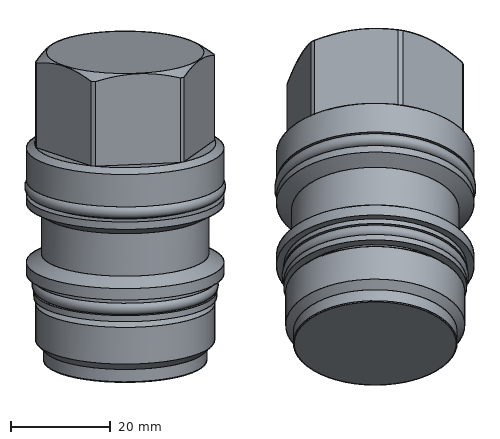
import cadquery as cq
import math


TOTAL_HEIGHT = 64.3
BOTTOM_CHAMFER = 0.2
TIP_TOP = 2.75
LOWER_BAND_BOTTOM = 4.3
LOWER_BAND_TOP = 11.95
LOWER_RING_HEIGHT = 15.8
LOWER_FLANGE_BOTTOM = 18.2
LOWER_FLANGE_EDGE_TOP = 20.6
UPPER_FLANGE_EDGE_BOTTOM = 32.9
UPPER_FLANGE_TOP = 34.45
UPPER_RING_HEIGHT = 36.3
COLLAR_TOP = 45.3

TIP_RADIUS = 16.45
LOWER_BAND_RADIUS = 18.0
NECK_RADIUS = 16.5
NECK_FILLET = 0.8
GROOVE_FLANGE_RADIUS = 18.4
FLANGE_RADIUS = 19.85
WAIST_RADIUS = 16.85
COLLAR_TOP_RADIUS = 18.2

RING_SECTION_RADIUS = 1.3
UPPER_RING_RADIUS = 18.9
LOWER_RING_RADIUS = 17.4
UPPER_GROOVE_FLOOR = UPPER_RING_RADIUS - RING_SECTION_RADIUS
LOWER_GROOVE_FLOOR = LOWER_RING_RADIUS - RING_SECTION_RADIUS

HEX_ACROSS_FLATS = 31.9
HEX_SIDES = 6
HEX_CORNER_RADIUS = 18.1
HEX_TOP_RADIUS = 15.8

CONE_ANGLE = math.radians(30.0)


def cone_height(outer_radius, inner_radius):
    """Height of a 30 degree cone between two radii."""
    return (outer_radius - inner_radius) * math.tan(CONE_ANGLE)


def make_turned_body():
    """Everything below the head, turned from a half profile of (radius, height) points."""
    fillet_start_radius = NECK_RADIUS + NECK_FILLET * (1 - math.sin(CONE_ANGLE))
    fillet_start_height = LOWER_BAND_TOP + cone_height(LOWER_BAND_RADIUS, fillet_start_radius)
    ring_flange_bottom = fillet_start_height + NECK_FILLET * math.cos(CONE_ANGLE)
    fillet_mid_angle = (math.pi / 2 - CONE_ANGLE) / 2
    fillet_middle = (
        NECK_RADIUS + NECK_FILLET * (1 - math.cos(fillet_mid_angle)),
        ring_flange_bottom - NECK_FILLET * math.sin(fillet_mid_angle),
    )
    waist_cone = cone_height(FLANGE_RADIUS, WAIST_RADIUS)
    collar_cone = cone_height(FLANGE_RADIUS, COLLAR_TOP_RADIUS)
    lower_groove_bottom = LOWER_RING_HEIGHT - RING_SECTION_RADIUS
    lower_groove_top = LOWER_RING_HEIGHT + RING_SECTION_RADIUS
    upper_groove_top = UPPER_RING_HEIGHT + RING_SECTION_RADIUS
    lower_profile = [
        (0, 0),
        (TIP_RADIUS - BOTTOM_CHAMFER, 0),
        (TIP_RADIUS, BOTTOM_CHAMFER),
        (TIP_RADIUS, TIP_TOP),
        (LOWER_BAND_RADIUS, LOWER_BAND_BOTTOM),
        (LOWER_BAND_RADIUS, LOWER_BAND_TOP),
        (fillet_start_radius, fillet_start_height),
    ]
    upper_profile = [
        (NECK_RADIUS, ring_flange_bottom),
        (GROOVE_FLANGE_RADIUS, ring_flange_bottom),
        (GROOVE_FLANGE_RADIUS, lower_groove_bottom),
        (LOWER_GROOVE_FLOOR, lower_groove_bottom),
        (LOWER_GROOVE_FLOOR, lower_groove_top),
        (GROOVE_FLANGE_RADIUS, lower_groove_top),
        (GROOVE_FLANGE_RADIUS, LOWER_FLANGE_BOTTOM),
        (FLANGE_RADIUS, LOWER_FLANGE_BOTTOM),
        (FLANGE_RADIUS, LOWER_FLANGE_EDGE_TOP),
        (WAIST_RADIUS, LOWER_FLANGE_EDGE_TOP + waist_cone),
        (WAIST_RADIUS, UPPER_FLANGE_EDGE_BOTTOM - waist_cone),
        (FLANGE_RADIUS, UPPER_FLANGE_EDGE_BOTTOM),
        (FLANGE_RADIUS, UPPER_FLANGE_TOP),
        (UPPER_GROOVE_FLOOR, UPPER_FLANGE_TOP),
        (UPPER_GROOVE_FLOOR, upper_groove_top),
        (FLANGE_RADIUS, upper_groove_top),
        (FLANGE_RADIUS, COLLAR_TOP - collar_cone),
        (COLLAR_TOP_RADIUS, COLLAR_TOP),
        (0, COLLAR_TOP),
    ]
    return (
        cq.Workplane("XZ")
        .polyline(lower_profile)
        .threePointArc(fillet_middle, upper_profile[0])
        .polyline(upper_profile[1:], includeCurrent=True)
        .close()
        .revolve(360, (0, 0), (0, 1))
    )


def make_hex_head():
    """Hexagon with corners on the Y axis, trimmed by a turned blank with a chamfered top."""
    corner_diameter = HEX_ACROSS_FLATS / math.cos(math.pi / HEX_SIDES)
    hexagon = (
        cq.Workplane("XY")
        .workplane(offset=COLLAR_TOP)
        .polygon(HEX_SIDES, corner_diameter)
        .extrude(TOTAL_HEIGHT - COLLAR_TOP)
        .rotate((0, 0, 0), (0, 0, 1), 180 / HEX_SIDES)
    )
    chamfer_bottom = TOTAL_HEIGHT - cone_height(HEX_CORNER_RADIUS, HEX_TOP_RADIUS)
    blank_profile = [
        (0, COLLAR_TOP),
        (HEX_CORNER_RADIUS, COLLAR_TOP),
        (HEX_CORNER_RADIUS, chamfer_bottom),
        (HEX_TOP_RADIUS, TOTAL_HEIGHT),
        (0, TOTAL_HEIGHT),
    ]
    blank = cq.Workplane("XZ").polyline(blank_profile).close().revolve(360, (0, 0), (0, 1))
    return hexagon.intersect(blank)


def make_o_ring(ring_radius, height):
    """Round-section ring; ring_radius reaches the centre of the section."""
    return cq.Solid.makeTorus(ring_radius, RING_SECTION_RADIUS, cq.Vector(0, 0, height))


plug = make_turned_body().union(make_hex_head())

o_rings = []
for ring_radius, ring_height in [
    (LOWER_RING_RADIUS, LOWER_RING_HEIGHT),
    (UPPER_RING_RADIUS, UPPER_RING_HEIGHT),
]:
    o_rings.append(make_o_ring(ring_radius, ring_height))

result = cq.Compound.makeCompound([plug.val(), *o_rings])